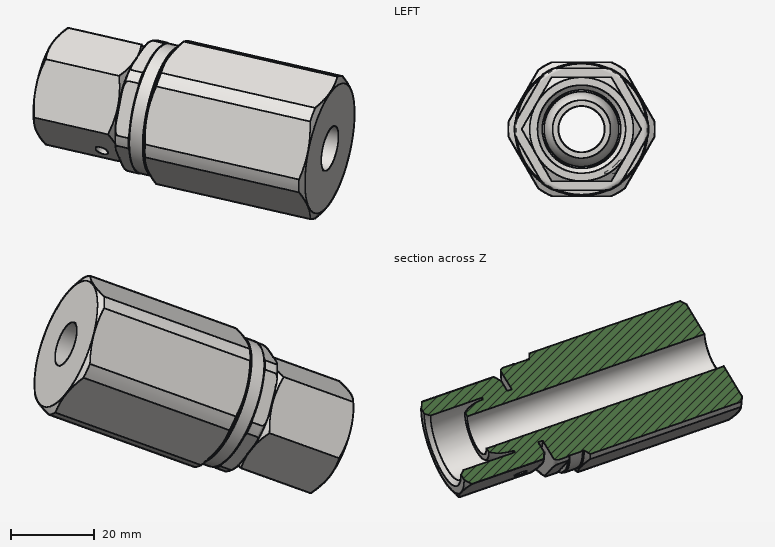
import cadquery as cq
import math


nut_length = 21.1
nut_flats = 24.75
nut_face_diameter = nut_flats
nut_bore = 18.75
nut_mouth = 21.0
nut_mouth_depth = (nut_mouth - nut_bore) / 2

stem_diameter = 17.9
nose_start = 9.0
nose_face_diameter = 13.8
nose_radius = stem_diameter / 2
nose_face_angle = math.asin(nose_face_diameter / 2 / nose_radius)
nose_end = nose_start + nose_radius * math.cos(nose_face_angle)

hole_x = 16.3
hole_z = -8.9
hole_diameter = 3.15
hole_floor_diameter = 23.25

flange_start = 22.2
flange_length = 3.7
flange_flats = 29.1
flange_corner_diameter = 32.0
flange_round = 1.1

collar_start = flange_start + flange_length
collar_length = 3.65
collar_diameter = 31.8
collar_chamfer = 0.3

relief_start = collar_start + collar_length
relief_length = 0.35
relief_diameter = 31.6

body_start = relief_start + relief_length
body_end = 71.3
body_flats = 32.0
body_corner_diameter = 35.0
body_face_diameter = 31.8

bevel_angle = 30.0
through_bore = 11.0


def corner_diameter(flats):
    """Distance across the sharp corners of a hexagon."""
    return flats / math.cos(math.pi / 6)


def plane_at(x):
    """Workplane facing +X at the given station."""
    return cq.Workplane("YZ", origin=(x, 0, 0))


def hex_bar(start, length, flats):
    """Hexagonal bar with two flats facing +Z and -Z."""
    return plane_at(start).polygon(6, corner_diameter(flats)).extrude(length)


def rod(start, length, diameter):
    return plane_at(start).circle(diameter / 2).extrude(length)


def spin(profile):
    """Revolve a closed half-profile in the XY plane about the X axis."""
    return profile.close().revolve(360, (0, 0, 0), (1, 0, 0))


def bevelled_rod(start, length, diameter, face_diameter):
    """Round envelope whose two ends are turned down at the bevel angle."""
    end = start + length
    radius = diameter / 2
    face_radius = face_diameter / 2
    bevel = (radius - face_radius) * math.tan(math.radians(bevel_angle))
    profile = (
        cq.Workplane("XY")
        .moveTo(start, 0)
        .lineTo(start, face_radius)
        .lineTo(start + bevel, radius)
        .lineTo(end - bevel, radius)
        .lineTo(end, face_radius)
        .lineTo(end, 0)
    )
    return spin(profile)


def bevelled_hex(start, length, flats, diameter, face_diameter):
    """Hexagonal bar with its corners turned down to a bevelled round envelope."""
    envelope = bevelled_rod(start, length, diameter, face_diameter)
    return hex_bar(start, length, flats).intersect(envelope)


def make_nut():
    nut = bevelled_hex(0, nut_length, nut_flats, corner_diameter(nut_flats), nut_face_diameter)
    bore_profile = (
        cq.Workplane("XY")
        .moveTo(0, 0)
        .lineTo(0, nut_mouth / 2)
        .lineTo(nut_mouth_depth, nut_bore / 2)
        .lineTo(nose_end, nut_bore / 2)
        .lineTo(nose_end, 0)
    )
    return nut.cut(spin(bore_profile))


def make_stem():
    mid_angle = (nose_face_angle + math.pi / 2) / 2
    nose_middle = (nose_end - nose_radius * math.cos(mid_angle), nose_radius * math.sin(mid_angle))
    profile = (
        cq.Workplane("XY")
        .moveTo(nose_start, 0)
        .lineTo(nose_start, nose_face_diameter / 2)
        .threePointArc(nose_middle, (nose_end, nose_radius))
        .lineTo(flange_start, nose_radius)
        .lineTo(flange_start, 0)
    )
    return spin(profile)


def make_flange():
    envelope = rod(flange_start, flange_length, flange_corner_diameter)
    envelope = envelope.faces("<X").edges().fillet(flange_round)
    return hex_bar(flange_start, flange_length, flange_flats).intersect(envelope)


def make_collar():
    collar = rod(collar_start, collar_length, collar_diameter)
    return collar.faces("<X").chamfer(collar_chamfer)


def make_body():
    length = body_end - body_start
    return bevelled_hex(body_start, length, body_flats, body_corner_diameter, body_face_diameter)


def make_hole():
    """Blind hole from the -Y side whose floor is a cylinder about the X axis."""
    hole_plane = cq.Workplane("XZ", origin=(hole_x, 0, hole_z))
    drill = hole_plane.circle(hole_diameter / 2).extrude(nut_flats)
    return drill.cut(rod(0, nut_length, hole_floor_diameter))


result = (
    make_nut()
    .union(make_stem())
    .union(make_flange())
    .union(make_collar())
    .union(rod(relief_start, relief_length, relief_diameter))
    .union(make_body())
    .cut(make_hole())
    .cut(rod(0, body_end, through_bore))
)